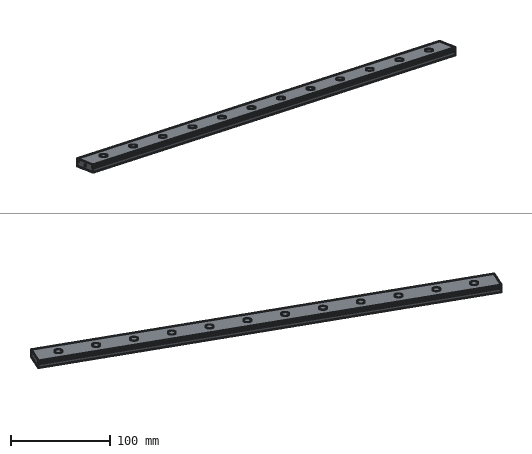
import cadquery as cq

rail_width = 24.0
rail_length = 490.0
rail_height = 8.5
half_width = rail_width / 2
half_length = rail_length / 2

top_chamfer = 0.3

groove_radius = 1.1
groove_bottom_z = 4.4
groove_center_z = groove_bottom_z + groove_radius
relief_height = 0.6
relief_depth = 1.7

screw_count = 12
screw_pitch = 40.0
screw_recess_diameter = 8.0
screw_recess_depth = 0.1

end_hole_diameter = 2.0
end_hole_depth = 6.0


def rail_body():
    """Plain bar, resting on Z = 0, with its long top edges chamfered."""
    bar = cq.Workplane("XY").box(
        rail_width, rail_length, rail_height, centered=(True, True, False)
    )
    return bar.faces(">Z").edges("|Y").chamfer(top_chamfer)


def side_groove(side):
    """Full-length ball groove and relief slot; side is +1 for +X and -1 for -X."""
    side_x = side * half_width
    ball_groove = (
        cq.Workplane("XZ", origin=(side_x, half_length, groove_center_z))
        .circle(groove_radius)
        .extrude(rail_length)
    )
    relief_slot = cq.Workplane("XY", origin=(side_x, 0, groove_center_z)).box(
        2 * relief_depth, rail_length, relief_height
    )
    return ball_groove.union(relief_slot)


def screw_recesses():
    """Row of round recesses sunk into the top face, centred along the length."""
    return (
        cq.Workplane("XY", origin=(0, 0, rail_height - screw_recess_depth))
        .rarray(screw_pitch, screw_pitch, 1, screw_count)
        .circle(screw_recess_diameter / 2)
        .extrude(screw_recess_depth)
    )


def end_hole():
    """Blind hole running into the rail from its -Y end."""
    return (
        cq.Workplane("XZ", origin=(0, -half_length, rail_height / 2))
        .circle(end_hole_diameter / 2)
        .extrude(-end_hole_depth)
    )


result = rail_body()
for side in (1, -1):
    result = result.cut(side_groove(side))
result = result.cut(screw_recesses()).cut(end_hole())